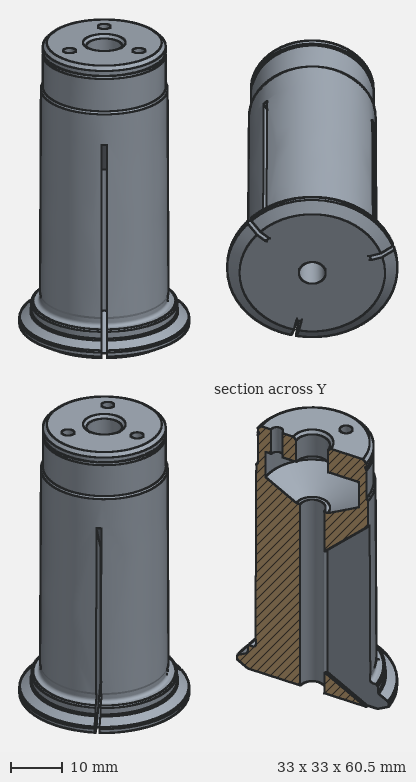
import cadquery as cq
import math

height = 60.5

flange_radius = 33.0 / 2
flange_slope = 30.0
flange_bevel_height = 1.4
flange_rim_top = 2.25
rim_break_width = 0.15
rim_break_height = 0.395

hub_radius = 28.25 / 2
hub_foot_width = 0.2
hub_foot_height = 0.35
hub_top = 5.9
hub_break = 0.35

relief_radius = 12.35
relief_fillet = 0.7
relief_top = 7.45

body_base = 7.9
body_base_radius = 12.45
body_top = 50.7
body_top_radius = 12.3

neck_base = 51.2
neck_radius = 11.9
neck_groove_base = 58.0
neck_groove_top = 58.6
neck_groove_depth = 0.25
top_chamfer = 0.8

bore_radius = 5.2 / 2
mouth_radius = 6.9 / 2
mouth_chamfer = (8.2 - 6.9) / 2

chamber_radius = 20.4 / 2
chamber_ceiling = 54.45
chamber_floor_rim = 48.4
chamber_floor_slope = 30.0

coolant_hole_radius = 2.5 / 2
coolant_circle_radius = 7.75

slot_width = 0.95
slot_top = 44.3
slot_wall_top = 34.9
slot_wall_bottom = 5.15
slot_ceiling_slope = 45.0
slot_floor_slope = 30.0
slot_end_radius = 0.9

pattern_count = 3


def slope_ratio(slope):
    """Height gained per unit of horizontal run, for a slope in degrees."""
    return math.tan(math.radians(slope))


def revolve_about_z(profile):
    return profile.close().revolve(360, (0, 0, 0), (0, 1, 0))


def pattern_about_z(shape):
    """Copies of the shape spaced evenly around the axis."""
    step = 360 / pattern_count
    return [shape.rotate((0, 0, 0), (0, 0, 1), i * step) for i in range(pattern_count)]


def make_outer_body():
    slope = slope_ratio(flange_slope)
    flange_bottom_radius = flange_radius - flange_bevel_height / slope
    cone_base = flange_rim_top + rim_break_height
    cone_base_radius = flange_radius - rim_break_width
    cone_top_radius = hub_radius + hub_foot_width
    cone_top = cone_base + (cone_base_radius - cone_top_radius) * slope
    groove_floor_radius = neck_radius - neck_groove_depth
    profile = (
        cq.Workplane("XZ")
        .lineTo(flange_bottom_radius, 0)
        .lineTo(flange_radius, flange_bevel_height)
        .lineTo(flange_radius, flange_rim_top)
        .lineTo(cone_base_radius, cone_base)
        .lineTo(cone_top_radius, cone_top)
        .lineTo(hub_radius, cone_top + hub_foot_height)
        .lineTo(hub_radius, hub_top - hub_break)
        .lineTo(hub_radius - hub_break, hub_top)
        .lineTo(relief_radius + relief_fillet, hub_top)
        .radiusArc((relief_radius, hub_top + relief_fillet), relief_fillet)
        .lineTo(relief_radius, relief_top)
        .lineTo(body_base_radius, body_base)
        .lineTo(body_top_radius, body_top)
        .lineTo(neck_radius, neck_base)
        .lineTo(neck_radius, neck_groove_base)
        .lineTo(groove_floor_radius, neck_groove_top)
        .lineTo(neck_radius, neck_groove_top)
        .lineTo(neck_radius, height - top_chamfer)
        .lineTo(neck_radius - top_chamfer, height)
        .lineTo(0, height)
    )
    return revolve_about_z(profile)


def make_bore_and_chamber():
    floor_drop = (chamber_radius - mouth_radius) * slope_ratio(chamber_floor_slope)
    floor_bottom = chamber_floor_rim - floor_drop
    profile = (
        cq.Workplane("XZ")
        .lineTo(bore_radius, 0)
        .lineTo(bore_radius, floor_bottom)
        .lineTo(mouth_radius, floor_bottom)
        .lineTo(chamber_radius, chamber_floor_rim)
        .lineTo(chamber_radius, chamber_ceiling)
        .lineTo(mouth_radius, chamber_ceiling)
        .lineTo(mouth_radius, height - mouth_chamfer)
        .lineTo(mouth_radius + mouth_chamfer, height)
        .lineTo(0, height)
    )
    return revolve_about_z(profile)


def make_coolant_hole():
    return (
        cq.Workplane("XY", origin=(coolant_circle_radius, 0, chamber_ceiling))
        .circle(coolant_hole_radius)
        .extrude(height - chamber_ceiling)
    )


def make_slot():
    """The slot on the -X side, open outward through the body and the flange."""
    outer_x = -flange_radius - 0.6
    ceiling_run = (slot_top - slot_wall_top) / slope_ratio(slot_ceiling_slope)
    inner_x = -body_top_radius + ceiling_run
    floor_run = slot_wall_bottom / slope_ratio(slot_floor_slope)
    blade = (
        cq.Workplane("XZ")
        .moveTo(outer_x, slot_top)
        .lineTo(-body_top_radius, slot_top)
        .lineTo(inner_x, slot_wall_top)
        .lineTo(inner_x, slot_wall_bottom)
        .lineTo(inner_x - floor_run, 0)
        .lineTo(outer_x, 0)
        .close()
        .extrude(slot_width / 2, both=True)
    )
    end_x = inner_x - slot_end_radius
    plan = (
        cq.Workplane("XY")
        .moveTo(outer_x, -slot_end_radius)
        .lineTo(end_x, -slot_end_radius)
        .threePointArc((inner_x, 0), (end_x, slot_end_radius))
        .lineTo(outer_x, slot_end_radius)
        .close()
        .extrude(height)
    )
    return blade.intersect(plan)


result = make_outer_body().cut(make_bore_and_chamber())
for cutter in pattern_about_z(make_coolant_hole()) + pattern_about_z(make_slot()):
    result = result.cut(cutter)